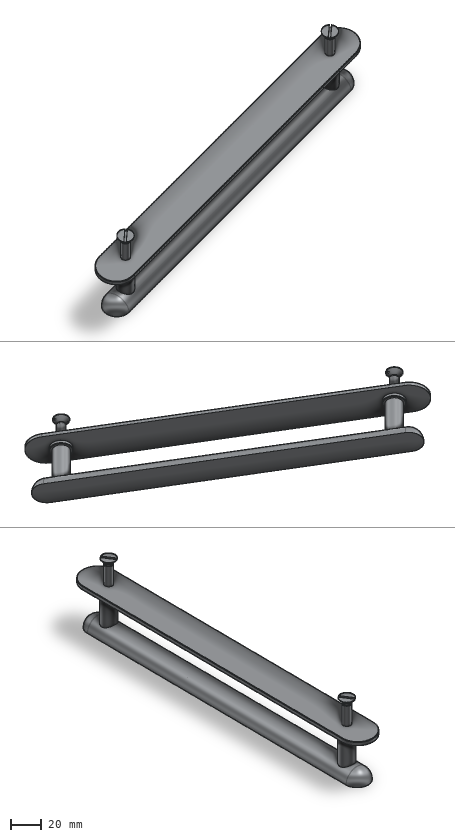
import cadquery as cq

plate_length = 272.2
plate_width = 28.0
plate_bottom = 36.5
plate_thickness = 3.0
plate_chamfer = 0.4
plate_top = plate_bottom + plate_thickness

grip_length = 263.5
grip_radius = 10.0
grip_straight = grip_length - 2 * grip_radius

post_spacing = 224.0
post_diameter = 12.2
ring_diameter = 15.8
ring_thickness = 2.5
ring_chamfer = 0.4
ring_bottom = plate_bottom - ring_thickness

screw_top = 60.5
head_diameter = 11.5
head_rim = 0.5
neck_diameter = 5.0
neck_bottom = 55.5
shank_diameter = 6.5
shank_bottom = 24.5
slot_width = 1.5
slot_depth = 1.4
slot_angle = -57.0

post_places = [(0, side * post_spacing / 2) for side in (-1, 1)]


def cylinders(diameter, bottom, top):
    """Upright cylinders on both post axes."""
    return (
        cq.Workplane("XY", origin=(0, 0, bottom))
        .pushPoints(post_places)
        .circle(diameter / 2)
        .extrude(top - bottom)
    )


screw_holes = cylinders(shank_diameter, shank_bottom, plate_top)


def make_handle():
    """Half-round grip with both posts, bored for the screws."""
    grip = (
        cq.Workplane("XZ", origin=(0, grip_straight / 2, 0))
        .circle(grip_radius)
        .extrude(grip_straight)
    )
    for side in (-1, 1):
        end_ball = cq.Workplane("XY").sphere(grip_radius)
        grip = grip.union(end_ball.translate((0, side * grip_straight / 2, 0)))
    upper_half = cq.Workplane("XY").box(
        2 * grip_radius, grip_length, grip_radius, centered=(True, True, False)
    )
    grip = grip.intersect(upper_half)
    return grip.union(cylinders(post_diameter, 0, ring_bottom)).cut(screw_holes)


def make_plate():
    """Round-ended plate with a chamfered upper rim and two screw holes."""
    plate = (
        cq.Workplane("XY", origin=(0, 0, plate_bottom))
        .slot2D(plate_length, plate_width, 90)
        .extrude(plate_thickness)
        .faces(">Z")
        .chamfer(plate_chamfer)
    )
    return plate.cut(screw_holes)


def make_ring(place):
    """Ring around the screw, between post and plate, with its lower rim chamfered."""
    return (
        cq.Workplane("XY", origin=(*place, ring_bottom))
        .circle(ring_diameter / 2)
        .extrude(ring_thickness)
        .faces("<Z")
        .chamfer(ring_chamfer)
        .cut(screw_holes)
    )


def make_screw(place):
    """Slotted screw with a 90 degree head and a relieved neck."""
    head_radius = head_diameter / 2
    neck_radius = neck_diameter / 2
    shank_radius = shank_diameter / 2
    rim_bottom = screw_top - head_rim
    cone_bottom = rim_bottom - (head_radius - neck_radius)
    screw = (
        cq.Workplane("XZ")
        .moveTo(0, screw_top)
        .lineTo(head_radius, screw_top)
        .lineTo(head_radius, rim_bottom)
        .lineTo(neck_radius, cone_bottom)
        .lineTo(neck_radius, neck_bottom)
        .lineTo(shank_radius, neck_bottom)
        .lineTo(shank_radius, shank_bottom)
        .lineTo(0, shank_bottom)
        .close()
        .revolve(360, (0, 0, 0), (0, 1, 0))
    )
    slot = (
        cq.Workplane("XY", origin=(0, 0, screw_top - slot_depth))
        .transformed(rotate=(0, 0, slot_angle))
        .rect(2 * head_diameter, slot_width)
        .extrude(slot_depth)
    )
    return screw.cut(slot).translate((*place, 0))


handle = make_handle()
plate = make_plate()
rings = [make_ring(place) for place in post_places]
screws = [make_screw(place) for place in post_places]

result = cq.Compound.makeCompound(
    [handle.val(), plate.val()]
    + [ring.val() for ring in rings]
    + [screw.val() for screw in screws]
)